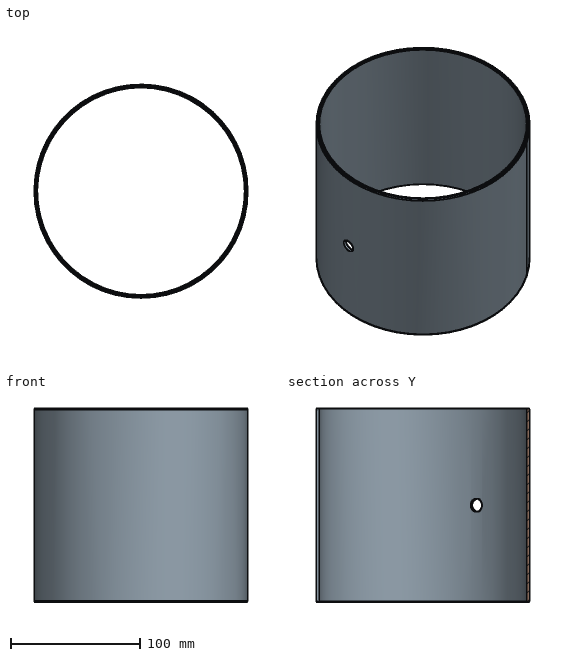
import cadquery as cq

outer_diameter = 165.0
height = 150.0
wall = 2.5

chamfer_width = 0.7
outer_chamfer_height = 1.3
inner_chamfer_height = chamfer_width

slit_width = 1.3
slit_center_y = 0.7

hole_diameter = 10.0
hole_angle = 59.0

outer_radius = outer_diameter / 2
inner_radius = outer_radius - wall


def make_sleeve():
    """Open tube standing on Z = 0, both rims chamfered inside and outside."""
    profile = [
        (inner_radius, inner_chamfer_height),
        (inner_radius + chamfer_width, 0),
        (outer_radius - chamfer_width, 0),
        (outer_radius, outer_chamfer_height),
        (outer_radius, height - outer_chamfer_height),
        (outer_radius - chamfer_width, height),
        (inner_radius + chamfer_width, height),
        (inner_radius, height - inner_chamfer_height),
    ]
    return cq.Workplane("XZ").polyline(profile).close().revolve(360, (0, 0, 0), (0, 1, 0))


def make_slit_cutter():
    """Thin block that opens the wall over its full height."""
    block = cq.Workplane("XY").box(outer_radius, slit_width, height, centered=(False, True, False))
    return block.translate((-outer_radius, slit_center_y, 0))


def make_hole_cutter():
    """Cylinder running outward from the axis through one side of the wall."""
    cylinder = (
        cq.Workplane("YZ")
        .center(0, height / 2)
        .circle(hole_diameter / 2)
        .extrude(outer_diameter)
    )
    return cylinder.rotate((0, 0, 0), (0, 0, 1), hole_angle)


result = make_sleeve().cut(make_hole_cutter()).cut(make_slit_cutter())